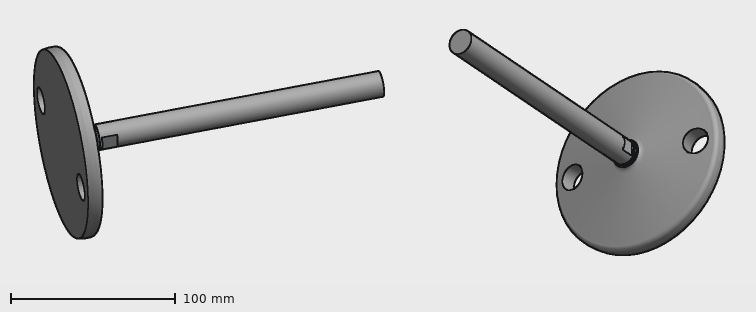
import cadquery as cq
import math

base_diameter = 117.98
base_radius = base_diameter / 2
floor_radius = 58.4
draft_height = 4.0
rim_height = 9.8
rim_round = 3.0
cone_top_radius = 11.0
cone_height = 17.3

hub_foot_radius = 9.6
hub_foot_height = 17.8
hub_flare_radius = 8.4
hub_flare_height = 19.0
hub_radius = 7.8
hub_height = 20.4
lip_radius = 9.0
lip_thickness = 0.3
lip_top = hub_height + lip_thickness

fixing_hole_diameter = 16.5
fixing_hole_offset = 42.8
fixing_cutter_length = 60.0
cone_slope = math.atan2(cone_height - rim_height, base_radius - rim_round - cone_top_radius)

stud_diameter = 16.0
stud_radius = stud_diameter / 2
stud_end = 202.0
stud_shoulder = 22.5
neck_radius = 6.8
neck_bottom = 10.0
width_across_flats = 13.0
flat_bottom = 24.0
flat_length = 9.7


def revolve_about_y(half_profile):
    return half_profile.close().revolve(360, (0, 0, 0), (0, 1, 0))


def make_base_disc():
    """Disc with drafted edge, rounded rim, cone and hub, and a blind socket for the neck."""
    round_center_radius = base_radius - rim_round
    round_center_height = rim_height - rim_round
    round_middle = rim_round * math.sqrt(0.5)
    half_profile = (
        cq.Workplane("XY")
        .moveTo(0, 0)
        .lineTo(floor_radius, 0)
        .lineTo(base_radius, draft_height)
        .lineTo(base_radius, round_center_height)
        .threePointArc(
            (round_center_radius + round_middle, round_center_height + round_middle),
            (round_center_radius, rim_height),
        )
        .lineTo(cone_top_radius, cone_height)
        .lineTo(hub_foot_radius, hub_foot_height)
        .threePointArc((hub_flare_radius, hub_flare_height), (hub_radius, hub_height))
        .lineTo(lip_radius, hub_height)
        .lineTo(lip_radius, lip_top)
        .lineTo(neck_radius, lip_top)
        .lineTo(neck_radius, neck_bottom)
        .lineTo(0, neck_bottom)
    )
    return revolve_about_y(half_profile)


def make_fixing_hole(side):
    """Cutter leaning outward with the cone's normal; side is -1 or +1 along X."""
    axis = cq.Vector(side * math.sin(cone_slope), math.cos(cone_slope), 0)
    floor_center = cq.Vector(side * fixing_hole_offset, 0, 0)
    start = floor_center - axis * (fixing_cutter_length / 2)
    cutter = cq.Solid.makeCylinder(fixing_hole_diameter / 2, fixing_cutter_length, start, axis)
    return cq.Workplane(obj=cutter)


def make_base():
    base = make_base_disc()
    for side in (-1, 1):
        base = base.cut(make_fixing_hole(side))
    return base


def make_wrench_flat(side):
    """Block that leaves half the width across flats on its side of the axis."""
    block_width = stud_radius
    block = cq.Workplane("XY").box(block_width, flat_length, stud_diameter)
    block_center = side * (width_across_flats + block_width) / 2
    return block.translate((block_center, flat_bottom + flat_length / 2, 0))


def make_stud():
    half_profile = (
        cq.Workplane("XY")
        .moveTo(0, neck_bottom)
        .lineTo(neck_radius, neck_bottom)
        .lineTo(neck_radius, stud_shoulder)
        .lineTo(stud_radius, stud_shoulder)
        .lineTo(stud_radius, stud_end)
        .lineTo(0, stud_end)
    )
    stud = revolve_about_y(half_profile)
    for side in (-1, 1):
        stud = stud.cut(make_wrench_flat(side))
    return stud


base = make_base()
stud = make_stud()
result = cq.Compound.makeCompound([base.solids().val(), stud.solids().val()])